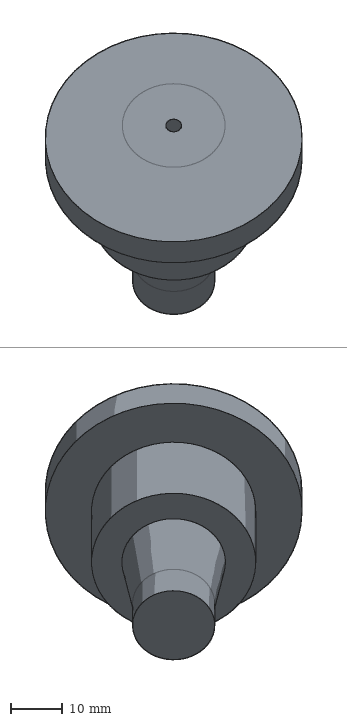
import cadquery as cq

rim_diameter = 50.0
crown_diameter = 20.0
body_diameter = 32.0
taper_diameter = 20.2
stub_diameter = 16.0
hole_diameter = 3.0

total_height = 52.0
stub_height = 7.7
taper_height = 14.9
rim_height = 7.0
crown_height = 4.0
hole_depth = 10.0

taper_bottom = stub_height
body_bottom = taper_bottom + taper_height
rim_top = total_height - crown_height
rim_bottom = rim_top - rim_height

half_section = (
    cq.Workplane("XZ")
    .moveTo(0, 0)
    .lineTo(stub_diameter / 2, 0)
    .lineTo(stub_diameter / 2, taper_bottom)
    .lineTo(taper_diameter / 2, body_bottom)
    .lineTo(body_diameter / 2, body_bottom)
    .lineTo(body_diameter / 2, rim_bottom)
    .lineTo(rim_diameter / 2, rim_bottom)
    .lineTo(rim_diameter / 2, rim_top)
    .lineTo(crown_diameter / 2, total_height)
    .lineTo(0, total_height)
    .close()
)
turned_body = half_section.revolve(360, (0, 0, 0), (0, 1, 0))

result = turned_body.faces(">Z").workplane().hole(hole_diameter, hole_depth)